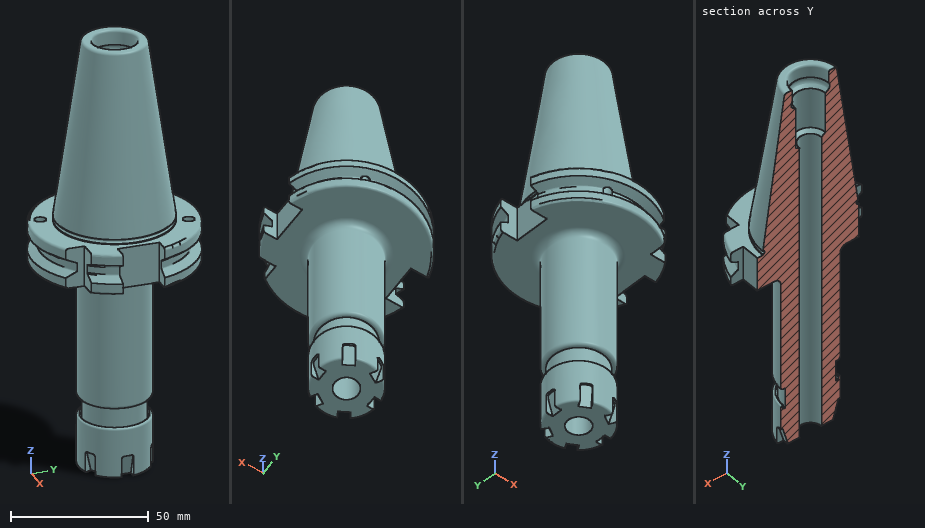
import cadquery as cq
import math

Z_TOP = 68.4
Z_BOTTOM = -100.0

GAUGE_RADIUS = 22.2
TAPER_PER_DIAMETER = 7 / 24
TAPER_TOP_ROUND = 1.2

RELIEF_TOP = -1.3
RELIEF_BOTTOM = -2.9
RELIEF_DEPTH = 0.8

FLANGE_DIAMETER = 63.5
FLANGE_RADIUS = FLANGE_DIAMETER / 2
FLANGE_TOP = -3.2
FLANGE_BOTTOM = -19.0
FLANGE_ROUND = 1.0
GROOVE_CENTER = -11.1
GROOVE_FLOOR_RADIUS = 28.3
GROOVE_FLOOR_WIDTH = 3.4
GROOVE_ROOT_ROUND = 0.5
GROOVE_FLANK_ANGLE = 30

SLOT_WIDTH = 16.2
SLOT_FLOOR_LEFT = 22.7
SLOT_FLOOR_RIGHT = 25.0
NOTCH_OFFSET = 18.5

COOLANT_RADIUS = 2.2
COOLANT_CIRCLE_RADIUS = 27.0
COOLANT_ANGLE = 70
COOLANT_BOTTOM = -12.1
DRILL_POINT_ANGLE = 118

BODY_RADIUS = 14.0
BODY_BOTTOM = -72.7
BODY_EDGE_ROUND = 1.3
BODY_ROOT_ROUND = 3.0
STEM_RADIUS = 12.0
NUT_RADIUS = 14.0
NUT_TOP = -80.3
NUT_ROUND = 0.8
NUT_MOUTH_RADIUS = 12.8
NUT_MOUTH_DEPTH = 1.7

WRENCH_SLOT_COUNT = 6
WRENCH_SLOT_WIDTH = 4.7
WRENCH_SLOT_HEIGHT = 8.6
WRENCH_SLOT_CORNER_ROUND = 1.2
WRENCH_SLOT_DEPTH_TOP = 0.8
WRENCH_SLOT_DEPTH_BOTTOM = 3.4

COUNTERBORE_RADIUS = 8.5
COUNTERBORE_DEPTH = 8.8
COUNTERBORE_ROUND = 1.0
BORE_RELIEF_HEIGHT = 2.9
BORE_RELIEF_DEPTH = 0.5
THREAD_RADIUS = 6.9
THREAD_CONE_HEIGHT = 1.2
THREAD_DEPTH = 28.6
BORE_CONE_HEIGHT = 1.3
THROUGH_RADIUS = 5.0

CLEARANCE = 1.7

ROUND_INSET = 1 - math.sqrt(0.5)


def taper_radius(z):
    return GAUGE_RADIUS - z * TAPER_PER_DIAMETER / 2


def revolved(points):
    """Turn a closed outline of (radius, z) points about the Z axis."""
    return cq.Workplane("XZ").polyline(points).close().revolve(360, (0, 0), (0, 1))


def make_shank():
    relief_rim = taper_radius(RELIEF_TOP)
    shank = (
        cq.Workplane("XZ")
        .moveTo(0, Z_TOP)
        .lineTo(taper_radius(Z_TOP), Z_TOP)
        .lineTo(relief_rim, RELIEF_TOP)
        .threePointArc(
            (relief_rim - RELIEF_DEPTH, (RELIEF_TOP + RELIEF_BOTTOM) / 2),
            (relief_rim, RELIEF_BOTTOM),
        )
        .lineTo(relief_rim, FLANGE_TOP - CLEARANCE)
        .lineTo(0, FLANGE_TOP - CLEARANCE)
        .close()
        .revolve(360, (0, 0), (0, 1))
    )
    return shank.faces(">Z").edges().fillet(TAPER_TOP_ROUND)


def make_flange():
    height = FLANGE_TOP - FLANGE_BOTTOM
    flange = cq.Workplane("XY", origin=(0, 0, FLANGE_BOTTOM)).circle(FLANGE_RADIUS).extrude(height)
    flange = flange.faces("<Z or >Z").edges().fillet(FLANGE_ROUND)

    groove_depth = FLANGE_RADIUS - GROOVE_FLOOR_RADIUS
    half_floor = GROOVE_FLOOR_WIDTH / 2
    half_mouth = half_floor + groove_depth * math.tan(math.radians(GROOVE_FLANK_ANGLE))
    groove = revolved([
        (GROOVE_FLOOR_RADIUS, GROOVE_CENTER + half_floor),
        (FLANGE_RADIUS, GROOVE_CENTER + half_mouth),
        (FLANGE_RADIUS + CLEARANCE, GROOVE_CENTER + half_mouth),
        (FLANGE_RADIUS + CLEARANCE, GROOVE_CENTER - half_mouth),
        (FLANGE_RADIUS, GROOVE_CENTER - half_mouth),
        (GROOVE_FLOOR_RADIUS, GROOVE_CENTER - half_floor),
    ])
    groove = groove.edges(cq.selectors.RadiusNthSelector(0)).fillet(GROOVE_ROOT_ROUND)
    return flange.cut(groove)


def flange_cutter(x_min, x_max, y_min, y_max):
    """Box through the full flange height over the given X and Y range."""
    return (
        cq.Workplane("XY", origin=(0, 0, FLANGE_BOTTOM))
        .moveTo((x_min + x_max) / 2, (y_min + y_max) / 2)
        .rect(x_max - x_min, y_max - y_min)
        .extrude(FLANGE_TOP - FLANGE_BOTTOM)
    )


def cut_flange_openings(flange):
    outside = FLANGE_RADIUS + CLEARANCE
    half_slot = SLOT_WIDTH / 2
    flange = flange.cut(flange_cutter(-outside, -SLOT_FLOOR_LEFT, -half_slot, half_slot))
    flange = flange.cut(flange_cutter(SLOT_FLOOR_RIGHT, outside, -half_slot, half_slot))
    flange = flange.cut(flange_cutter(NOTCH_OFFSET, outside, -outside, -NOTCH_OFFSET))

    cone_height = COOLANT_RADIUS / math.tan(math.radians(DRILL_POINT_ANGLE / 2))
    drill = revolved([
        (0, FLANGE_TOP),
        (COOLANT_RADIUS, FLANGE_TOP),
        (COOLANT_RADIUS, COOLANT_BOTTOM),
        (0, COOLANT_BOTTOM - cone_height),
    ]).translate((COOLANT_CIRCLE_RADIUS, 0, 0))
    for angle in (COOLANT_ANGLE, COOLANT_ANGLE + 180):
        flange = flange.cut(drill.rotate((0, 0, 0), (0, 0, 1), angle))
    return flange


def make_body():
    root = BODY_ROOT_ROUND
    edge = BODY_EDGE_ROUND
    stem_end = NUT_TOP - NUT_MOUTH_DEPTH - CLEARANCE
    return (
        cq.Workplane("XZ")
        .moveTo(0, FLANGE_BOTTOM + CLEARANCE)
        .lineTo(BODY_RADIUS + root, FLANGE_BOTTOM + CLEARANCE)
        .lineTo(BODY_RADIUS + root, FLANGE_BOTTOM)
        .threePointArc(
            (BODY_RADIUS + root * ROUND_INSET, FLANGE_BOTTOM - root * ROUND_INSET),
            (BODY_RADIUS, FLANGE_BOTTOM - root),
        )
        .lineTo(BODY_RADIUS, BODY_BOTTOM + edge)
        .threePointArc(
            (BODY_RADIUS - edge * ROUND_INSET, BODY_BOTTOM + edge * ROUND_INSET),
            (BODY_RADIUS - edge, BODY_BOTTOM),
        )
        .lineTo(STEM_RADIUS, BODY_BOTTOM)
        .lineTo(STEM_RADIUS, stem_end)
        .lineTo(0, stem_end)
        .close()
        .revolve(360, (0, 0), (0, 1))
    )


def make_nut():
    nut = cq.Workplane("XY", origin=(0, 0, Z_BOTTOM)).circle(NUT_RADIUS).extrude(NUT_TOP - Z_BOTTOM)
    nut = nut.faces("<Z or >Z").edges().fillet(NUT_ROUND)

    nut = nut.faces(">Z").workplane().circle(NUT_MOUTH_RADIUS).cutBlind(-NUT_MOUTH_DEPTH)

    slot_top = Z_BOTTOM + WRENCH_SLOT_HEIGHT
    slot = (
        cq.Workplane("XZ")
        .polyline([
            (NUT_RADIUS - WRENCH_SLOT_DEPTH_TOP, slot_top),
            (NUT_RADIUS + CLEARANCE, slot_top),
            (NUT_RADIUS + CLEARANCE, Z_BOTTOM),
            (NUT_RADIUS - WRENCH_SLOT_DEPTH_BOTTOM, Z_BOTTOM),
        ])
        .close()
        .extrude(WRENCH_SLOT_WIDTH / 2, both=True)
        .edges("|X and >Z")
        .fillet(WRENCH_SLOT_CORNER_ROUND)
    )
    for index in range(WRENCH_SLOT_COUNT):
        angle = index * 360 / WRENCH_SLOT_COUNT
        nut = nut.cut(slot.rotate((0, 0, 0), (0, 0, 1), angle))
    return nut


def make_bore():
    floor = Z_TOP - COUNTERBORE_DEPTH
    thread_end = Z_TOP - THREAD_DEPTH
    mouth_inset = COUNTERBORE_ROUND * ROUND_INSET
    return (
        cq.Workplane("XZ")
        .moveTo(0, Z_TOP)
        .lineTo(COUNTERBORE_RADIUS + COUNTERBORE_ROUND, Z_TOP)
        .threePointArc(
            (COUNTERBORE_RADIUS + mouth_inset, Z_TOP - mouth_inset),
            (COUNTERBORE_RADIUS, Z_TOP - COUNTERBORE_ROUND),
        )
        .lineTo(COUNTERBORE_RADIUS, floor + BORE_RELIEF_HEIGHT)
        .threePointArc(
            (COUNTERBORE_RADIUS + BORE_RELIEF_DEPTH, floor + BORE_RELIEF_HEIGHT / 2),
            (COUNTERBORE_RADIUS, floor),
        )
        .lineTo(THREAD_RADIUS, floor - THREAD_CONE_HEIGHT)
        .lineTo(THREAD_RADIUS, thread_end)
        .lineTo(THROUGH_RADIUS, thread_end - BORE_CONE_HEIGHT)
        .lineTo(THROUGH_RADIUS, Z_BOTTOM)
        .lineTo(0, Z_BOTTOM)
        .close()
        .revolve(360, (0, 0), (0, 1))
    )


holder = cut_flange_openings(make_flange())
holder = holder.union(make_shank()).union(make_body()).union(make_nut())
result = holder.cut(make_bore())